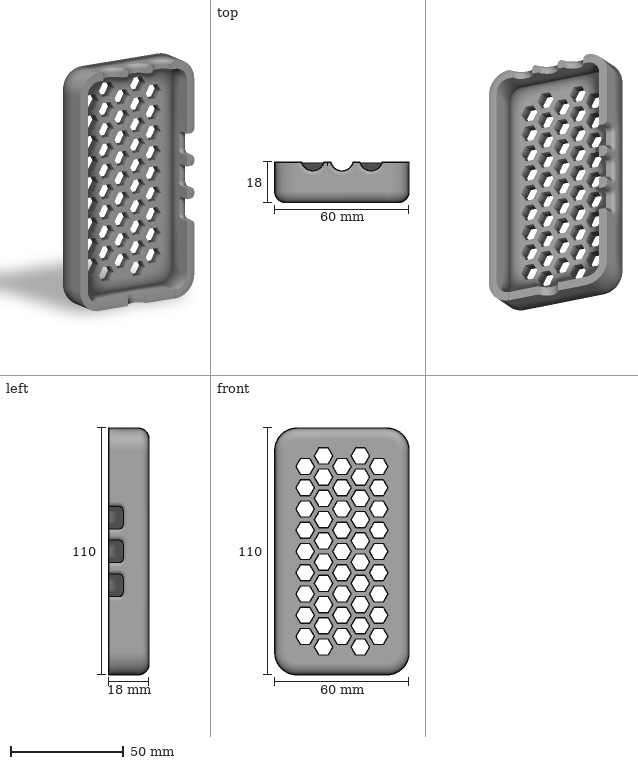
import cadquery as cq
import math

width = 60.0
depth = 18.0
length = 110.0
corner_radius = 10.0
face_rounding = corner_radius / 2
wall = 4.0
floor = 5.5

vent_across_corners = 8.1
vent_row_pitch = 9.5
vent_column_pitch = vent_row_pitch * math.sqrt(3) / 2
vent_columns = 5
long_column_count = 10
short_column_count = 9

notch_rounding = 2.0

round_notch_radius = 5.1
round_notch_rise = 1.2
round_notch_pitch = 13.0

relief_depth = 0.3

square_notch_length = 10.0
square_notch_depth = 6.5
square_notch_corner = 2.0
square_notch_pitch = 15.1

front_y = -depth / 2
rim_y = depth / 2
side_x = -width / 2
top_z = length / 2


def block(size_x, size_z, start_y, end_y):
    """Box centred in X and Z, running from start_y to end_y."""
    size_y = end_y - start_y
    return cq.Workplane("XY").box(size_x, size_y, size_z).translate((0, start_y + size_y / 2, 0))


def make_tray():
    outer = block(width, length, front_y, rim_y)
    outer = outer.edges("|Y").fillet(corner_radius)
    outer = outer.faces("<Y").edges().fillet(face_rounding)
    cavity = block(width - 2 * wall, length - 2 * wall, front_y + floor, rim_y)
    cavity = cavity.edges("|Y").fillet(corner_radius - wall)
    return outer.cut(cavity)


def make_vents():
    """Columns alternate between a short one and a long one, each centred in Z."""
    centres = []
    for column in range(vent_columns):
        x = (column - (vent_columns - 1) / 2) * vent_column_pitch
        count = long_column_count if column % 2 else short_column_count
        for row in range(count):
            centres.append((x, (row - (count - 1) / 2) * vent_row_pitch))
    return (
        cq.Workplane("XZ", origin=(0, front_y, 0))
        .pushPoints(centres)
        .polygon(6, vent_across_corners)
        .extrude(-floor)
    )


def make_round_notch(x):
    """Cutter along Z, flaring out to the +Z face with a quarter-round profile."""
    flare_radius = round_notch_radius + notch_rounding
    mid_offset = notch_rounding * (1 - math.sqrt(0.5))
    return (
        cq.Workplane("XZ")
        .moveTo(0, top_z - wall)
        .lineTo(round_notch_radius, top_z - wall)
        .lineTo(round_notch_radius, top_z - notch_rounding)
        .threePointArc((round_notch_radius + mid_offset, top_z - mid_offset), (flare_radius, top_z))
        .lineTo(0, top_z)
        .close()
        .revolve(360, (0, 0, 0), (0, 1, 0))
        .translate((x, rim_y + round_notch_rise, 0))
    )


def make_cable_exit():
    """Plain round notch through the -Z wall, facing the middle round notch."""
    return (
        cq.Workplane("XY", origin=(0, rim_y + round_notch_rise, -top_z))
        .circle(round_notch_radius)
        .extrude(wall)
    )


def make_rim_relief():
    """Cutter that lowers the straight stretch of the -Z wall slightly below the rim."""
    return (
        block(width - 2 * corner_radius, wall, rim_y - relief_depth, rim_y)
        .translate((0, 0, (wall - length) / 2))
    )


def make_square_notch(z):
    """Cutter along X with rounded corners, open at the rim."""
    return (
        cq.Workplane("YZ", origin=(side_x, rim_y, z))
        .rect(2 * square_notch_depth, square_notch_length)
        .extrude(wall)
        .edges("|X")
        .fillet(square_notch_corner)
    )


def round_square_notches(body):
    """Round the edges where the square notches meet the -X face."""
    margin = 0.1
    half_span = square_notch_pitch + square_notch_length / 2 + margin
    notch_zone = cq.selectors.BoxSelector(
        (side_x - margin, rim_y - square_notch_depth - margin, -half_span),
        (side_x + margin, rim_y - margin, half_span),
    )
    return body.edges(notch_zone).fillet(notch_rounding)


notch_steps = (-1, 0, 1)

result = make_tray().cut(make_vents())
for step in notch_steps:
    result = result.cut(make_square_notch(step * square_notch_pitch))
result = round_square_notches(result)
for step in notch_steps:
    result = result.cut(make_round_notch(step * round_notch_pitch))
result = result.cut(make_cable_exit()).cut(make_rim_relief())